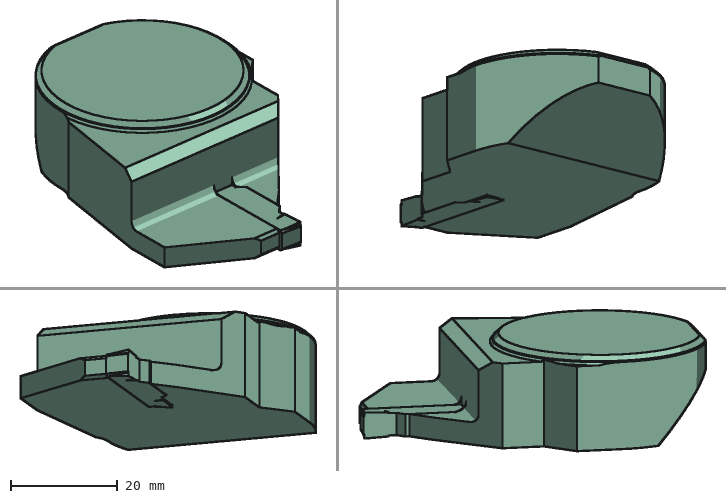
import cadquery as cq
import math

body_radius = 20.05
flat_x = -19.05
total_height = 17.95
block_height = 16.3
block_end_x = 25.45
block_chamfer_width = 2.3
block_chamfer_height = 1.85
front_y = -25.0
front_side_end_x = 34.8
shelf_height = 4.3
shelf_fillet = 1.55
shelf_end_x = 44.0
shelf_end_corner_y = -9.0
shelf_end_chamfer = 0.65
shoulder_y = 14.9
shoulder_start_x = 13.6
shoulder_end_x = 21.55
back_kink = (32.6, 5.4)
back_end = (36.6, 1.4)
blend_end = (3.2, -21.2)
underside_flat_z = 11.6

disc_radius = 20.0
disc_chamfer_width = 1.1
disc_chamfer_height = 0.95
disc_base_z = 16.8
skirt_radius = 20.5

insert_mid_x = 32.55
insert_half_length = 64.1 + flat_x - insert_mid_x
insert_depth = 4.5
insert_end_relief = 0.3
hump_half_length = 4.75
hump_foot = 6.15
hump_height = 1.5
insert_chamfer = 0.45
raise_height = 0.4
raise_inner = (7.95, -1.9)
raise_outer = (11.85, -3.6)
raise_edge_x = 7.7
raise_tip_setback = 0.2


def full_outline():
    """Plan outline of the block and shelf together."""
    flat_half = math.sqrt(body_radius**2 - flat_x**2)
    diagonal = math.sqrt(0.5) * body_radius
    bevel_start_x = shoulder_start_x - (body_radius - shoulder_y)
    return (
        cq.Workplane("XY")
        .moveTo(flat_x, flat_half)
        .lineTo(flat_x, -flat_half)
        .threePointArc((-diagonal, -diagonal), (0, -body_radius))
        .tangentArcPoint(blend_end, relative=False)
        .lineTo(block_end_x, front_y)
        .lineTo(front_side_end_x, front_y)
        .lineTo(shelf_end_x, shelf_end_corner_y)
        .lineTo(shelf_end_x, -insert_depth)
        .lineTo(*back_end)
        .lineTo(*back_kink)
        .lineTo(shoulder_end_x, shoulder_y)
        .lineTo(shoulder_start_x, shoulder_y)
        .lineTo(bevel_start_x, body_radius)
        .lineTo(0, body_radius)
        .threePointArc((-diagonal, diagonal), (flat_x, flat_half))
        .close()
    )


def side_profile():
    """Side shape of the block and shelf, swept across the whole width."""
    chamfer_x = shelf_end_x - shelf_end_chamfer
    profile = (
        cq.Workplane("XZ")
        .moveTo(flat_x + underside_flat_z, 0)
        .lineTo(chamfer_x, 0)
        .lineTo(shelf_end_x, shelf_end_chamfer)
        .lineTo(shelf_end_x, shelf_height - shelf_end_chamfer)
        .lineTo(chamfer_x, shelf_height)
        .lineTo(block_end_x + shelf_fillet, shelf_height)
        .tangentArcPoint((block_end_x, shelf_height + shelf_fillet), relative=False)
        .lineTo(block_end_x, block_height - block_chamfer_height)
        .lineTo(block_end_x - block_chamfer_width, block_height)
        .lineTo(flat_x, block_height)
        .lineTo(flat_x, underside_flat_z)
        .close()
    )
    return profile.extrude(-2 * front_y, both=True)


def make_disc():
    """Chamfered disc with its conical skirt, trimmed to the holder outline."""
    rim_z = total_height - disc_chamfer_height
    top_radius = disc_radius - disc_chamfer_width
    skirt = (
        cq.Workplane("XZ")
        .polyline([(0, 0), (body_radius, 0), (body_radius, block_height), (skirt_radius, block_height),
                   (disc_radius, disc_base_z), (0, disc_base_z)])
        .close()
        .revolve(360, (0, 0), (0, 1))
    )
    rim = (
        cq.Workplane("XZ")
        .polyline([(0, block_height), (disc_radius, block_height), (disc_radius, rim_z),
                   (top_radius, total_height), (0, total_height)])
        .close()
        .revolve(360, (0, 0), (0, 1))
    )
    flat_trim = (
        cq.Workplane("XZ")
        .polyline([(flat_x, underside_flat_z), (flat_x, rim_z),
                   (flat_x + disc_chamfer_width, total_height),
                   (skirt_radius, total_height), (skirt_radius, underside_flat_z)])
        .close()
        .extrude(skirt_radius, both=True)
    )
    return skirt.union(rim).intersect(flat_trim).intersect(full_outline().extrude(total_height))


def insert_outline():
    """Plan outline of the insert, centred on its own middle."""
    foot_length = insert_half_length - insert_end_relief
    right = [(foot_length, -insert_depth), (insert_half_length, 0), (hump_foot, 0),
             (hump_half_length, hump_height)]
    left = [(-x, y) for x, y in reversed(right)]
    return cq.Workplane("XY").polyline(right + left).close()


def raised_corner():
    """Sloping facet rising from its foot line to the upper right tip of the insert."""
    run_x = raise_outer[0] - raise_inner[0]
    run_y = raise_outer[1] - raise_inner[1]
    run = math.hypot(run_x, run_y)
    uphill = (-run_y / run, run_x / run)
    tip_x = insert_half_length - raise_tip_setback
    rise_run = (tip_x - raise_inner[0]) * uphill[0] - raise_inner[1] * uphill[1]
    slope_plane = cq.Plane(
        origin=(*raise_inner, shelf_height),
        xDir=(*uphill, 0),
        normal=(uphill[1], -uphill[0], 0),
    )
    wedge = (
        cq.Workplane(slope_plane)
        .polyline([(0, -insert_chamfer), (rise_run, -insert_chamfer), (rise_run, raise_height), (0, 0)])
        .close()
        .extrude(insert_half_length, both=True)
    )
    footprint = (
        cq.Workplane("XY")
        .polyline([(raise_edge_x, 0), raise_inner, raise_outer, (tip_x, 0)])
        .close()
        .extrude(2 * shelf_height)
    )
    return wedge.intersect(footprint)


def make_insert():
    """Insert with chamfered ends and a raised corner above and below each end."""
    insert = insert_outline().extrude(shelf_height)
    foot_length = insert_half_length - insert_end_relief
    for side in (-1, 1):
        end_x = side * (foot_length + insert_end_relief / 2)
        end_face = insert.faces(cq.selectors.NearestToPointSelector((end_x, -insert_depth / 2, shelf_height / 2)))
        insert = end_face.edges("not |Z").edges("<Z or >Z").chamfer(insert_chamfer)
    upper_right = raised_corner()
    upper_left = upper_right.mirror("YZ")
    middle = (0, 0, shelf_height / 2)
    for corner in (upper_right, upper_left):
        insert = insert.union(corner).union(corner.mirror("XY", middle))
    return insert.translate((insert_mid_x, 0, 0))


def insert_clearance():
    """Space above the insert where the shelf fillet is cut away."""
    above = insert_outline().extrude(shelf_fillet).translate((insert_mid_x, 0, shelf_height))
    beyond_block = cq.Workplane("XY").box(
        insert_half_length * 2, insert_depth * 4, total_height, centered=(False, True, False)
    ).translate((block_end_x, 0, 0))
    return above.intersect(beyond_block)


def make_holder(insert):
    """Block, shelf and disc as one body, with a pocket matching the insert."""
    base = full_outline().extrude(block_height).intersect(side_profile())
    disc = make_disc().intersect(
        cq.Workplane("XY").workplane(offset=underside_flat_z).circle(skirt_radius).extrude(total_height)
    )
    return base.union(disc).cut(insert_clearance()).cut(insert)


insert = make_insert()
holder = make_holder(insert)

result = cq.Compound.makeCompound([holder.val(), insert.val()])